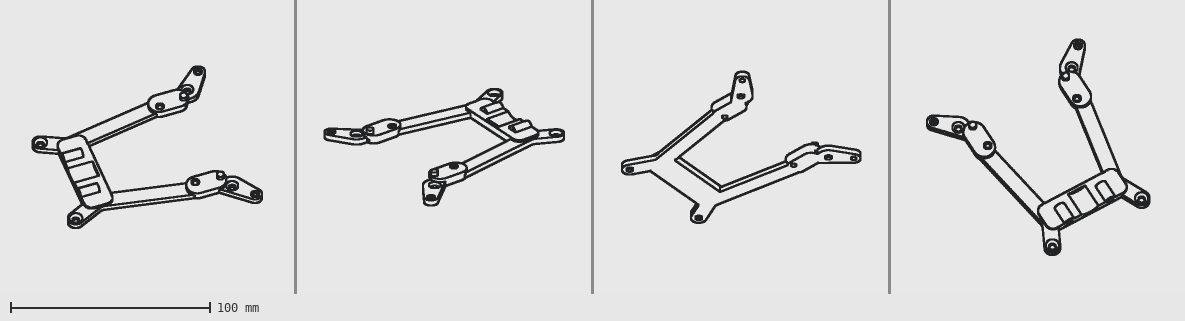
import cadquery as cq
import math


ARM_TOP = 3.0
BRIDGE_TOP = 4.0
PAD_TOP = 5.0
PIN_TOP = 7.0

BRIDGE_LENGTH = 46.4
BRIDGE_WIDTH = 15.0
BRIDGE_CORNER_RADIUS = 4.0

CHANNEL_WIDTH = 9.8
CHANNEL_DEPTH = 2.0
CHANNEL_LENGTH = 13.3

BOSS_X = -12.0
BOSS_DIAMETER = 6.0
BOSS_LENGTH = 10.0
BOSS_AXIS_Z = BOSS_DIAMETER / 2

ARM_WIDTH = 8.0
ARM_START = (-28.5, 57.2)
LEFT_ELBOW = (-20.0, 5.6)
RIGHT_ELBOW = (-19.2, 7.5)
ELBOW_FILLET = 4.0
FOOT = (-26.0, -6.9)

PAD_X = -28.0
PAD_FRONT = 51.7
PAD_BACK = 72.5
PAD_RADIUS = 5.6
PAD_INSET = 0.7
PAD_FRONT_CENTRE = (PAD_X, PAD_FRONT + PAD_RADIUS)
PAD_BACK_CENTRE = (PAD_X, PAD_BACK - PAD_RADIUS)
PAD_HOLE = (FOOT[0], 56.9)
PIN = (-27.1, 70.0)
PIN_DIAMETER = 3.6

TIP_RADIUS = 3.5
TIP = (-45.5 + TIP_RADIUS, 83.0)
HUB = (-33.0, 74.1)
HUB_RADIUS = 5.9

SMALL_HOLE = 2.6
SMALL_SINK = 4.0
LARGE_HOLE = 3.4
FOOT_SINK = 6.6
HUB_SINK = 6.0
BOSS_HOLE = 2.5
BOSS_COUNTERBORE = 3.0
BOSS_COUNTERBORE_DEPTH = 2.0
BOSS_SINK = 3.6
BOSS_HOLE_DEPTH = 8.0
DRILL_POINT_ANGLE = 118


def stadium(start, end, width, height):
    """Round-ended bar standing on the underside, its end radii centred on start and end."""
    dx = end[0] - start[0]
    dy = end[1] - start[1]
    middle = ((start[0] + end[0]) / 2, (start[1] + end[1]) / 2)
    return (
        cq.Workplane("XY")
        .center(*middle)
        .slot2D(math.hypot(dx, dy) + width, width, math.degrees(math.atan2(dy, dx)))
        .extrude(height)
    )


def on_circle(centre, radius, angle):
    return (centre[0] + radius * math.cos(angle), centre[1] + radius * math.sin(angle))


def make_arm(elbow):
    """Long arm and foot, meeting in a bend that is filleted on its outer side."""
    arm = stadium(ARM_START, elbow, ARM_WIDTH, ARM_TOP)
    foot = stadium(elbow, FOOT, ARM_WIDTH, ARM_TOP)
    bend_point = (elbow[0] - ARM_WIDTH / 2, elbow[1], ARM_TOP / 2)
    bend_edge = cq.selectors.NearestToPointSelector(bend_point)
    return arm.union(foot).edges("|Z").edges(bend_edge).fillet(ELBOW_FILLET)


def make_ear():
    """Tapered ear: straight from pad to tip below, tangent to tip and hub above."""
    hub_direction = math.atan2(HUB[1] - TIP[1], HUB[0] - TIP[0])
    hub_distance = math.hypot(HUB[0] - TIP[0], HUB[1] - TIP[1])
    upper_angle = hub_direction + math.acos((TIP_RADIUS - HUB_RADIUS) / hub_distance)

    pad_direction = math.atan2(PAD_BACK_CENTRE[1] - TIP[1], PAD_BACK_CENTRE[0] - TIP[0])
    lower_angle = pad_direction - math.pi / 2
    far_angle = (upper_angle + lower_angle) / 2 + math.pi

    return (
        cq.Workplane("XY")
        .moveTo(*on_circle(PAD_BACK_CENTRE, TIP_RADIUS, lower_angle))
        .lineTo(*on_circle(TIP, TIP_RADIUS, lower_angle))
        .threePointArc(
            on_circle(TIP, TIP_RADIUS, far_angle),
            on_circle(TIP, TIP_RADIUS, upper_angle),
        )
        .lineTo(*on_circle(HUB, HUB_RADIUS, upper_angle))
        .threePointArc(
            on_circle(HUB, HUB_RADIUS, upper_angle / 2),
            on_circle(HUB, HUB_RADIUS, 0),
        )
        .lineTo(HUB[0] + HUB_RADIUS, PAD_BACK_CENTRE[1])
        .close()
        .extrude(ARM_TOP)
    )


def half_pad_profile():
    """Half cross-section of the pad, with an S-shaped side that is upright at both ends."""
    upright = (0, 1)
    inner = PAD_RADIUS - PAD_INSET
    side_points = [(inner, PAD_TOP / 3), (PAD_RADIUS, PAD_TOP * 2 / 3), (PAD_RADIUS, PAD_TOP)]
    return (
        cq.Workplane("XZ")
        .lineTo(inner, 0)
        .spline(side_points, tangents=[upright, upright], includeCurrent=True)
        .lineTo(0, PAD_TOP)
        .close()
    )


def make_pad():
    """Pad with a pin: a straight middle with a half round at each end."""
    straight_length = PAD_BACK_CENTRE[1] - PAD_FRONT_CENTRE[1]
    half_middle = half_pad_profile().extrude(-straight_length)
    middle = half_middle.union(half_middle.mirror("YZ"))
    back_end = half_pad_profile().revolve(180, (0, 0), (0, 1))
    front_end = half_pad_profile().revolve(180, (0, 0), (0, -1))
    pad = middle.union(front_end).union(back_end.translate((0, straight_length, 0)))
    pin = cq.Workplane("XY").center(*PIN).circle(PIN_DIAMETER / 2).extrude(PIN_TOP)
    return pad.translate((*PAD_FRONT_CENTRE, 0)).union(pin)


def countersunk_hole(place, top, hole, sink):
    """Cutter for a vertical through hole with a 90 degree countersink at the given level."""
    sink_depth = (sink - hole) / 2
    return (
        cq.Workplane("XZ")
        .polyline([
            (0, 0),
            (hole / 2, 0),
            (hole / 2, top - sink_depth),
            (sink / 2, top),
            (sink / 2, PIN_TOP),
            (0, PIN_TOP),
        ])
        .close()
        .revolve(360, (0, 0), (0, 1))
        .translate((*place, 0))
    )


def make_boss_hole():
    """Cutter for the blind screw hole in a boss: chamfered, counterbored, drill-pointed."""
    mouth_depth = (BOSS_SINK - BOSS_COUNTERBORE) / 2
    point_depth = BOSS_HOLE / 2 / math.tan(math.radians(DRILL_POINT_ANGLE / 2))
    return (
        cq.Workplane("XY")
        .polyline([
            (0, 0),
            (BOSS_SINK / 2, 0),
            (BOSS_COUNTERBORE / 2, mouth_depth),
            (BOSS_COUNTERBORE / 2, BOSS_COUNTERBORE_DEPTH),
            (BOSS_HOLE / 2, BOSS_COUNTERBORE_DEPTH),
            (BOSS_HOLE / 2, BOSS_HOLE_DEPTH),
            (0, BOSS_HOLE_DEPTH + point_depth),
        ])
        .close()
        .revolve(360, (0, 0), (0, 1))
        .translate((BOSS_X, 0, BOSS_AXIS_Z))
    )


def make_channel():
    radius = (CHANNEL_WIDTH ** 2 / 4 + CHANNEL_DEPTH ** 2) / (2 * CHANNEL_DEPTH)
    axis_z = BRIDGE_TOP - CHANNEL_DEPTH + radius
    return cq.Workplane("XZ").center(0, axis_z).circle(radius).extrude(-CHANNEL_LENGTH)


def make_bridge():
    block = (
        cq.Workplane("XY")
        .center(0, BRIDGE_WIDTH / 2)
        .rect(BRIDGE_LENGTH, BRIDGE_WIDTH)
        .extrude(BRIDGE_TOP)
        .edges("|Z")
        .fillet(BRIDGE_CORNER_RADIUS)
    )
    return block.cut(make_channel())


def make_side(elbow):
    """Everything on the -X side of the bridge, with only the hub hole cut."""
    boss = (
        cq.Workplane("XZ")
        .center(BOSS_X, BOSS_AXIS_Z)
        .circle(BOSS_DIAMETER / 2)
        .extrude(-BOSS_LENGTH)
    )
    hub_hole = countersunk_hole(HUB, ARM_TOP, LARGE_HOLE, HUB_SINK)
    return make_arm(elbow).union(make_ear().cut(hub_hole)).union(make_pad()).union(boss)


def make_side_holes():
    holes = make_boss_hole()
    holes = holes.union(countersunk_hole(TIP, ARM_TOP, SMALL_HOLE, SMALL_SINK))
    holes = holes.union(countersunk_hole(PAD_HOLE, PAD_TOP, SMALL_HOLE, SMALL_SINK))
    holes = holes.union(countersunk_hole(FOOT, ARM_TOP, LARGE_HOLE, FOOT_SINK))
    return holes


left_side = make_side(LEFT_ELBOW)
right_side = make_side(RIGHT_ELBOW).mirror("YZ")
side_holes = make_side_holes()
result = make_bridge().union(left_side).union(right_side)
result = result.cut(side_holes).cut(side_holes.mirror("YZ"))